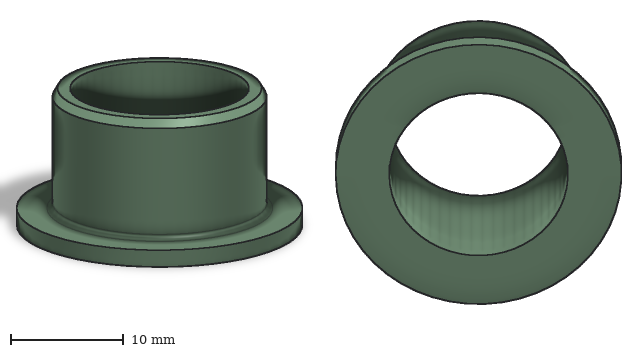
import cadquery as cq
import math

flange_diameter = 25.4
flange_thickness = 1.57
total_height = 12.7
sleeve_diameter = 19.05
bore_diameter = 15.88
root_fillet_radius = 0.5

chamfer_height = 0.8
chamfer_angle = 30.0
chamfer_width = chamfer_height * math.tan(math.radians(chamfer_angle))

flange_radius = flange_diameter / 2
sleeve_radius = sleeve_diameter / 2
bore_radius = bore_diameter / 2

fillet_center_radius = sleeve_radius + root_fillet_radius
fillet_top = flange_thickness + root_fillet_radius
fillet_offset = root_fillet_radius * math.sqrt(0.5)
fillet_middle = (fillet_center_radius - fillet_offset, fillet_top - fillet_offset)

half_section = (
    cq.Workplane("XZ")
    .moveTo(bore_radius, 0)
    .lineTo(flange_radius, 0)
    .lineTo(flange_radius, flange_thickness)
    .lineTo(fillet_center_radius, flange_thickness)
    .threePointArc(fillet_middle, (sleeve_radius, fillet_top))
    .lineTo(sleeve_radius, total_height - chamfer_height)
    .lineTo(sleeve_radius - chamfer_width, total_height)
    .lineTo(bore_radius, total_height)
    .close()
)

result = half_section.revolve(360, (0, 0, 0), (0, 1, 0))